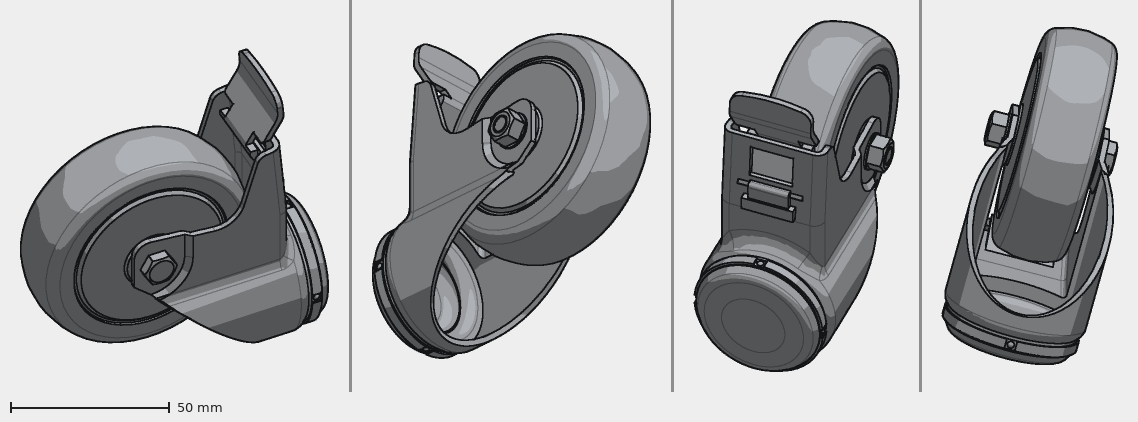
import cadquery as cq
import math


sheet = 2.0
axle_height = 30.0
far = 105.8

head_radius = 23.0
cup_radius = head_radius - sheet
shoulder_start = 47.0
shoulder_end = 50.5
neck_radius = 21.3
ring_radius = 21.9
ring_front = 51.5
ring_back = 54.8
lip_radius = 21.1
lip_back = 55.4
bevel_radius = 19.7
bevel_back = 57.6
back_edge_radius = 16.9
back_edge = 58.8
back_center_radius = 10.8
back_face = 59.4
ring_gap_width = 3.4
ring_gaps = 4
ball_radius = 1.3

cup_floor = shoulder_end - sheet
outer_step_radius = 18.5
outer_step_end = 14.7
inner_step_radius = 14.2
inner_step_end = 10.1

fork_half_width = 17.4
fork_back = 45.8
fork_bend_height = 36.0
fork_top_back = (43.4, 63.9)
fork_top_front = (35.1, 62.7)
fork_top_round = 3.7
fork_valley = (27.5, 37.0)
fork_valley_round = 9.5
arm_tip = (-7.8, 40.9)
arm_tip_round = 5.3
cut_top = (-7.8, 23.3)
cut_bottom = (42.9, -head_radius)
bend_radius = 3.6
window_half_width = 7.3
window_bottom = 49.2
window_top = 60.3
cup_seam_height = math.sqrt(head_radius**2 - fork_half_width**2)
flare_radius = 6.4

joggle_depth = 1.6
joggle_slope = 54
joggle_back = 9.7
joggle_bottom = 18.1
joggle_round = 11.7
arm_outer = fork_half_width - joggle_depth
arm_inner = arm_outer - sheet

axle_radius = 3.0
hex_flats = 10.0
nut_end = 21.8
bolt_head_end = 19.4
hex_chamfer = 0.6
hex_face_radius = 4.2
washer_radius = 6.0
washer_thickness = 0.6
axle_chamfer = 0.4

lever_sheet = 2.0
lever_path = [(43.5, 83.6), (44.3, 73.5), (35.6, 59.2), (44.9, 44.8)]
lever_bends = [(0, 5.5), (1, 3.7)]
lever_half_width = 13.9
lever_top = 82.9
lever_top_corner = (10.1, 81.9)
lever_corner_round = 4.2
lever_side_top = 77.8
lever_shoulder = 64.6
lever_shoulder_round = 1.3
lever_neck_half_width = 7.4
lever_ear_half_width = 11.0
lever_ear_top = 60.1
lever_foot = 43.4
tongue_half_width = 6.9
tongue_front = 44.5
tongue_bottom = 41.6
tongue_top = 47.4
tongue_back = 47.0
tongue_round = 1.4
catch_half_width = 8.8
catch_bottom = 37.1
catch_back = 47.7

wheel_radius = 37.5
tread_half_width = 9.1
tread_edge_radius = 35.7
tyre_half_width = 11.6
shoulder_radius = 4.0
tyre_side_radius = 32.0
tyre_inner_radius = 27.0
groove_outer_radius = 26.7
groove_inner_radius = 25.8
groove_half_width = 11.0
cap_radius = 24.7
cap_half_width = 12.1
boss_radius = 10.1
boss_base_half_width = 13.0
boss_face_radius = 9.3


def block(x_range, y_range, z_range):
    """Axis-aligned block between the given limits."""
    size = [high - low for low, high in (x_range, y_range, z_range)]
    corner = (x_range[0], y_range[0], z_range[0])
    return cq.Workplane("XY").box(*size, centered=False).translate(corner)


def across(outline, half_width):
    """Extrude a YZ outline to both sides of the middle plane."""
    return outline.extrude(half_width, both=True)


def swivel_head():
    """Turned outside of the cup, snap ring and back plate."""
    head = (
        cq.Workplane("XY")
        .moveTo(0, -far)
        .lineTo(head_radius, -far)
        .lineTo(head_radius, shoulder_start)
        .tangentArcPoint((neck_radius, shoulder_end), relative=False)
        .lineTo(neck_radius, ring_front)
        .lineTo(ring_radius, ring_front)
        .lineTo(ring_radius, ring_back)
        .lineTo(lip_radius, ring_back)
        .lineTo(lip_radius, lip_back)
        .lineTo(bevel_radius, bevel_back)
        .tangentArcPoint((back_edge_radius, back_edge), relative=False)
        .lineTo(back_center_radius, back_face)
        .lineTo(0, back_face)
        .close()
        .revolve(360, (0, 0, 0), (0, 1, 0))
    )
    return head


def ring_gap_tools():
    """Gap cutter and ball for the top of the snap ring."""
    gap = block((-ring_gap_width / 2, ring_gap_width / 2), (ring_front, ring_back),
                (neck_radius, head_radius))
    ball = cq.Workplane("XY").sphere(ball_radius).translate(
        (0, (ring_front + ring_back) / 2, ring_radius - ball_radius))
    return gap, ball


def add_ring_gaps(body):
    gap, ball = ring_gap_tools()
    for index in range(ring_gaps):
        angle = index * 360 / ring_gaps
        body = body.cut(gap.rotate((0, 0, 0), (0, 1, 0), angle))
        body = body.union(ball.rotate((0, 0, 0), (0, 1, 0), angle))
    return body


def cup_cavity():
    """Open inside of the cup with its two concave steps."""
    outer_step_floor = cup_floor + outer_step_radius - outer_step_end
    inner_step_depth = inner_step_radius - inner_step_end
    inner_step_floor = outer_step_floor + inner_step_depth
    return (
        cq.Workplane("XY")
        .moveTo(0, -far)
        .lineTo(cup_radius, -far)
        .lineTo(cup_radius, cup_floor)
        .lineTo(outer_step_radius, cup_floor)
        .tangentArcPoint((outer_step_end, outer_step_floor), relative=False)
        .lineTo(inner_step_radius, outer_step_floor)
        .radiusArc((inner_step_end, inner_step_floor), -inner_step_depth)
        .lineTo(0, inner_step_floor)
        .close()
        .revolve(360, (0, 0, 0), (0, 1, 0))
    )


def fork_block(half_width, inset, corner_radius):
    """Tall solid in front of the fork's back plate face, moved in by inset."""
    lean = (fork_back - fork_top_back[0]) / (fork_top_back[1] - fork_bend_height)
    back = fork_back - inset
    back_top = back - lean * (far - fork_bend_height)
    outline = cq.Workplane("YZ").polyline([
        (-far, 0), (back, 0), (back, fork_bend_height), (back_top, far), (-far, far),
    ]).close()
    solid = across(outline, half_width)
    back_edges = solid.faces("|X").edges(cq.selectors.BoxSelector((-far, 0, -far), (far, far, far)))
    return back_edges.fillet(corner_radius)


def lever_window():
    """Opening in the back plate above the foot of the lever."""
    return block((-window_half_width, window_half_width), (fork_top_back[0] - 2 * sheet, fork_back),
                 (window_bottom, window_top))


def fork_side_outline():
    """Side shape of the upper fork, as a solid wide enough to clip with."""
    outline = cq.Workplane("YZ").polyline([
        (far, -far), (far, far), (fork_top_back[0], far), fork_top_back, fork_top_front,
        fork_valley, arm_tip, cut_top, (cut_top[0], -far),
    ]).close()
    solid = across(outline, far)
    for corner, radius in (
        (fork_top_front, fork_top_round),
        (fork_valley, fork_valley_round),
        (arm_tip, arm_tip_round),
    ):
        solid = solid.edges(cq.selectors.NearestToPointSelector((0, *corner))).fillet(radius)
    return solid


def arm_cut():
    """Everything in front of the slanted cut, at the height of the arms."""
    outline = cq.Workplane("YZ").polyline([
        cut_top, cut_bottom, (cut_bottom[0], -far), (-far, -far), (-far, far), (cut_top[0], far),
    ]).close()
    above_cup = block((-far, far), (-far, far), (cup_seam_height, far))
    return across(outline, far).intersect(above_cup)


def cup_cut_ellipse(radius):
    """Slanted ellipse on a cylinder; every radius keeps the y of the cut at the same angle."""
    slope = (cut_top[0] - cut_bottom[0]) / (cut_top[1] - cut_bottom[1])
    center_y = cut_top[0] - slope * cut_top[1]
    rise = slope * head_radius / radius
    long_axis = cq.Vector(0, rise, 1)
    return cq.Edge.makeEllipse(
        radius * math.hypot(rise, 1), radius, cq.Vector(0, center_y, 0),
        cq.Vector(0, -1, rise), long_axis,
    )


def cup_cut():
    """Everything in front of the cup edge, which is square to the wall all round."""
    edge_face = cq.Face.makeRuledSurface(
        cup_cut_ellipse(cup_radius - sheet), cup_cut_ellipse(head_radius + sheet))
    front = cq.Workplane(cq.Solid.extrudeLinear(edge_face, cq.Vector(0, -2 * far, 0)))
    below_arms = block((-far, far), (-far, far), (-far, cup_seam_height))
    return front.intersect(below_arms)


def joggle(x_start):
    """Joggled area of the right arm, starting at x_start and widening outwards."""
    return (
        cq.Workplane("YZ", origin=(x_start, 0, 0))
        .moveTo(-far, joggle_bottom)
        .lineTo(joggle_back - joggle_round, joggle_bottom)
        .radiusArc((joggle_back, joggle_bottom + joggle_round), -joggle_round)
        .lineTo(joggle_back, far)
        .lineTo(-far, far)
        .close()
        .extrude(joggle_depth, taper=-joggle_slope)
    )


def both_sides(solid):
    return solid.union(solid.mirror("YZ"))


def fork():
    """Cup and fork pressed from one sheet, with the arm ends joggled inwards."""
    outside = fork_block(fork_half_width, 0, bend_radius)
    inside = fork_block(fork_half_width - sheet, sheet, bend_radius - sheet)
    outside = outside.intersect(fork_side_outline())
    body = swivel_head().union(outside)
    seams = body.edges(cq.selectors.BoxSelector(
        (-far, cut_top[0], cup_seam_height - sheet), (far, shoulder_end, cup_seam_height + sheet)))
    body = seams.fillet(flare_radius)
    body = body.cut(cup_cavity()).cut(inside).cut(lever_window())
    bump = joggle(arm_inner).intersect(fork_side_outline())
    bump = bump.intersect(block((0, fork_half_width), (-far, far), (0, far)))
    body = body.union(both_sides(bump)).cut(both_sides(joggle(arm_outer)))
    return body.cut(arm_cut()).cut(cup_cut())


def hexagon_nut(start, end):
    """Hexagon along X with its outer corners turned down."""
    corner_radius = hex_flats / math.sqrt(3)
    length = end - start
    prism = (
        cq.Workplane("YZ", origin=(start, 0, axle_height))
        .polygon(6, 2 * corner_radius)
        .extrude(length)
    )
    cone = (
        cq.Workplane("YZ", origin=(start, 0, axle_height))
        .circle(corner_radius)
        .extrude(length)
        .faces(">X")
        .chamfer(hex_chamfer, corner_radius - hex_face_radius)
    )
    return prism.intersect(cone)


def axle():
    """Bolt through both arms, with its head at +X and washer and nut at -X."""
    washer_end = arm_outer + washer_thickness
    shank = (
        cq.Workplane("YZ", origin=(-arm_outer, 0, axle_height))
        .circle(axle_radius)
        .extrude(2 * arm_outer)
    )
    washer = (
        cq.Workplane("YZ", origin=(-washer_end, 0, axle_height))
        .circle(washer_radius)
        .extrude(washer_thickness)
    )
    nut = hexagon_nut(washer_end, nut_end).mirror("YZ")
    shank_mark = (
        cq.Workplane("YZ", origin=(-nut_end, 0, axle_height))
        .circle(axle_radius)
        .circle(axle_radius - axle_chamfer)
        .extrude(axle_chamfer)
    )
    return shank.union(washer).union(nut.cut(shank_mark)).union(hexagon_nut(arm_outer, bolt_head_end))


def offset_path(path, distance):
    """Points of a parallel path, with mitred corners."""
    normals = []
    for (y0, z0), (y1, z1) in zip(path, path[1:]):
        length = math.hypot(y1 - y0, z1 - z0)
        normals.append(((z1 - z0) / length, (y0 - y1) / length))
    normals = [normals[0]] + normals + [normals[-1]]
    points = []
    for (y, z), (ay, az), (by, bz) in zip(path, normals, normals[1:]):
        scale = distance / (1 + ay * by + az * bz)
        points.append((y + scale * (ay + by), z + scale * (az + bz)))
    return points


def lever_strip():
    """Bent lever sheet at full width."""
    left = offset_path(lever_path, -lever_sheet / 2)
    right = offset_path(lever_path, lever_sheet / 2)
    strip = across(cq.Workplane("YZ").polyline(left + right[::-1]).close(), lever_half_width)
    for bend, (side, middle_radius) in enumerate(lever_bends, start=1):
        inner, outer = (left, right) if side == 0 else (right, left)
        for points, radius in (
            (inner, middle_radius - lever_sheet / 2),
            (outer, middle_radius + lever_sheet / 2),
        ):
            corner = cq.selectors.NearestToPointSelector((0, *points[bend]))
            strip = strip.edges(corner).fillet(radius)
    return strip


def lever_outline():
    """Frontal shape of the lever: handle, notched neck and eared foot."""
    corner_x, corner_z = lever_top_corner
    handle = (
        cq.Workplane("XZ")
        .moveTo(-lever_half_width, lever_shoulder)
        .lineTo(-lever_half_width, lever_side_top)
        .radiusArc((-corner_x, corner_z), lever_corner_round)
        .threePointArc((0, lever_top), (corner_x, corner_z))
        .radiusArc((lever_half_width, lever_side_top), lever_corner_round)
        .lineTo(lever_half_width, lever_shoulder)
        .close()
        .extrude(far, both=True)
        .edges("|Y")
        .edges("<Z")
        .fillet(lever_shoulder_round)
    )
    neck = block((-lever_neck_half_width, lever_neck_half_width), (-far, far),
                 (lever_foot, lever_shoulder))
    foot = block((-lever_ear_half_width, lever_ear_half_width), (-far, far),
                 (lever_foot, lever_ear_top))
    return handle.union(neck).union(foot)


def lever():
    """Brake lever with the tongue and catch behind the back plate."""
    tongue = block((-tongue_half_width, tongue_half_width),
                   (tongue_front, tongue_back), (tongue_bottom, tongue_top))
    tongue = tongue.edges("|X and >Y and >Z").fillet(tongue_round)
    catch = block((-catch_half_width, catch_half_width),
                  (tongue_front, catch_back), (catch_bottom, tongue_bottom))
    return lever_strip().intersect(lever_outline()).union(tongue).union(catch)


def wheel():
    """Crowned tyre with recessed groove, conical cap and hub bosses."""
    right_half = [
        (tyre_half_width, tyre_inner_radius),
        (groove_half_width, groove_outer_radius),
        (groove_half_width, groove_inner_radius),
        (cap_half_width, cap_radius),
        (boss_base_half_width, boss_radius),
        (arm_inner, boss_face_radius),
        (arm_inner, axle_radius),
    ]
    left_half = [(-x, radius) for x, radius in reversed(right_half)]
    profile = (
        cq.Workplane("XY")
        .moveTo(-tread_half_width, tread_edge_radius)
        .threePointArc((0, wheel_radius), (tread_half_width, tread_edge_radius))
        .radiusArc((tyre_half_width, tyre_side_radius), shoulder_radius)
    )
    for point in right_half + left_half:
        profile = profile.lineTo(*point)
    turned = (
        profile.lineTo(-tyre_half_width, tyre_side_radius)
        .radiusArc((-tread_half_width, tread_edge_radius), shoulder_radius)
        .close()
        .revolve(360, (0, 0, 0), (1, 0, 0))
    )
    return turned.translate((0, 0, axle_height))


caster_frame = add_ring_gaps(fork()).union(axle()).union(lever())
caster_wheel = wheel()

result = cq.Compound.makeCompound([caster_frame.val(), caster_wheel.val()])